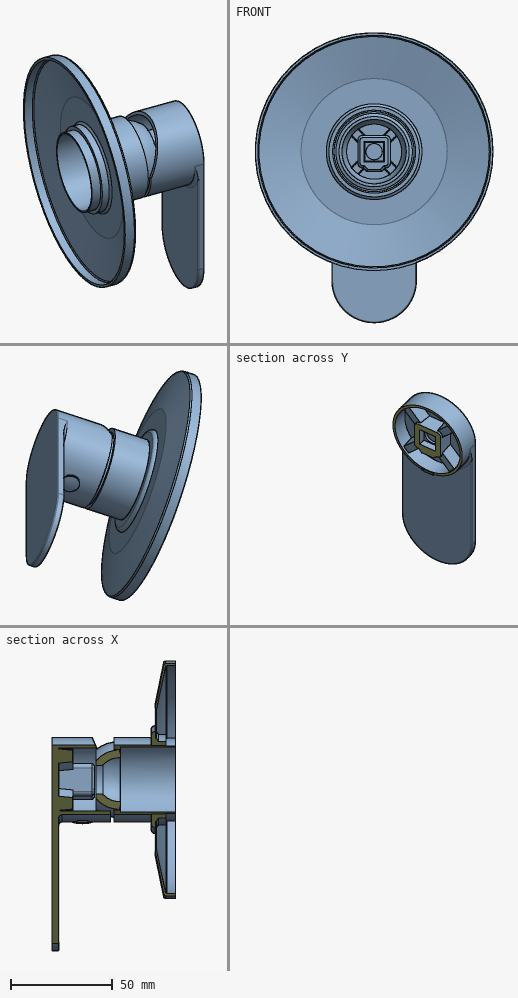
import cadquery as cq
import math


PLATE_RADIUS = 58.5
RIM_INNER_RADIUS = 57.2
RIM_DEPTH = 5.0
RIM_INNER_DEPTH = 4.3
RIM_INNER_BEVEL = 0.5
RIM_OUTER_BEVEL_RADIAL = 0.4
RIM_OUTER_BEVEL_AXIAL = 0.9
PLATE_FACE_Y = 10.1
PLATE_THICKNESS = 0.7
FACE_RADIUS = 37.4
BACK_FACE_RADIUS = 36.0

COLLAR_HOLE_RADIUS = 23.5
COLLAR_REAR_RADIUS = 22.3
COLLAR_BEVEL = 1.0
COLLAR_REAR_Y = 4.7
LIP_RADIUS = 26.5
LIP_HEIGHT = 2.0

SLEEVE_RADIUS = 20.8
SLEEVE_REAR_RADIUS = 20.4
SLEEVE_BORE_RADIUS = 19.7
DOME_SEAT_RADIUS = 18.8
SLEEVE_END_Y = 30.4

DOME_REAR_Y = 27.1
DOME_TOP_Y = 39.3
DOME_INNER_RADIUS = 15.8
DOME_OPENING_RADIUS = 13.5
DOME_CHAMFER_RADIAL = 1.5
DOME_CHAMFER_AXIAL = 0.5
DOME_CENTRE_Y = DOME_REAR_Y + DOME_CHAMFER_AXIAL

LEVER_FACE_Y = 61.0
LEVER_THICKNESS = 3.4
LEVER_END_Z = -84.2
LEVER_EDGE_ROUNDING = 0.4
LEVER_ROOT_ROUNDING = 1.7
CUP_REAR_Y = 32.0
CUP_SLANT_RISE = 9.1
CUP_INNER_RADIUS = 19.3
CUP_FLOOR_Y = LEVER_FACE_Y - LEVER_THICKNESS

BOSS_END_Y = 40.0
BOSS_HALF_WIDTH = 8.0
BOSS_TAB_END_Z = -9.8
BOSS_TAB_END_HALF_WIDTH = 3.5
BOSS_TAB_ROOT_HALF_WIDTH = 5.4
BOSS_CORNER_ROUNDING = 2.3
BOSS_END_CHAMFER = 1.1
SOCKET_WIDTH = 9.1
SOCKET_DEPTH = 12.8
SOCKET_CHAMFER = 0.4
SOCKET_CHAMFER_ANGLE = 45.0
SCREW_HOLE_RADIUS = 4.0
SCREW_HOLE_DEPTH = 1.4
RIB_WIDTH = 4.1
RIB_END_Y = 50.5
RIB_DRAFT_ANGLE = 4.0
RIB_ANGLES = (45, 135)

BUTTON_Y = 46.0
BUTTON_RADIUS = 4.7
BUTTON_SEAT_Z = -20.0
BUTTON_EDGE_Z = -21.1
BUTTON_CROWN_Z = -21.7


def about_y_axis(outline):
    """Turn a closed outline, drawn as (radius, y), around the Y axis."""
    return outline.close().revolve(360, (0, 0), (0, 1))


def facing_rear(y):
    """Workplane at height y whose normal points to -Y, with X and Z as its axes."""
    return cq.Workplane("XZ", origin=(0, y, 0))


def make_plate():
    back_y = PLATE_FACE_Y - PLATE_THICKNESS
    bevel_radius = PLATE_RADIUS - RIM_OUTER_BEVEL_RADIAL
    outline = (
        cq.Workplane("XY")
        .moveTo(PLATE_RADIUS, 0)
        .lineTo(PLATE_RADIUS, RIM_DEPTH)
        .lineTo(bevel_radius, RIM_DEPTH + RIM_OUTER_BEVEL_AXIAL)
        .lineTo(FACE_RADIUS, PLATE_FACE_Y)
        .lineTo(COLLAR_HOLE_RADIUS, PLATE_FACE_Y)
        .lineTo(COLLAR_HOLE_RADIUS, back_y)
        .lineTo(BACK_FACE_RADIUS, back_y)
        .lineTo(RIM_INNER_RADIUS - RIM_INNER_BEVEL, RIM_INNER_DEPTH + RIM_INNER_BEVEL)
        .lineTo(RIM_INNER_RADIUS, RIM_INNER_DEPTH)
        .lineTo(RIM_INNER_RADIUS, 0)
    )
    return about_y_axis(outline)


def make_collar():
    bevel_start_y = PLATE_FACE_Y - PLATE_THICKNESS
    lip_y = PLATE_FACE_Y + LIP_HEIGHT
    outline = (
        cq.Workplane("XY")
        .moveTo(SLEEVE_REAR_RADIUS, COLLAR_REAR_Y)
        .lineTo(COLLAR_REAR_RADIUS, COLLAR_REAR_Y)
        .lineTo(COLLAR_REAR_RADIUS, bevel_start_y - COLLAR_BEVEL)
        .lineTo(COLLAR_HOLE_RADIUS, bevel_start_y)
        .lineTo(COLLAR_HOLE_RADIUS, PLATE_FACE_Y)
        .lineTo(LIP_RADIUS, PLATE_FACE_Y)
        .radiusArc((LIP_RADIUS - LIP_HEIGHT, lip_y), -LIP_HEIGHT)
        .lineTo(SLEEVE_REAR_RADIUS, lip_y)
    )
    return about_y_axis(outline)


def make_sleeve():
    shoulder_y = PLATE_FACE_Y + LIP_HEIGHT
    outline = (
        cq.Workplane("XY")
        .moveTo(SLEEVE_BORE_RADIUS, 0)
        .lineTo(SLEEVE_REAR_RADIUS, 0)
        .lineTo(SLEEVE_REAR_RADIUS, shoulder_y)
        .lineTo(SLEEVE_RADIUS, shoulder_y)
        .lineTo(SLEEVE_RADIUS, SLEEVE_END_Y)
        .lineTo(DOME_SEAT_RADIUS, SLEEVE_END_Y)
        .lineTo(DOME_SEAT_RADIUS, DOME_REAR_Y)
        .lineTo(SLEEVE_BORE_RADIUS, DOME_REAR_Y)
    )
    return about_y_axis(outline)


def make_dome():
    top_radius = math.sqrt(DOME_SEAT_RADIUS**2 - (DOME_TOP_Y - DOME_CENTRE_Y) ** 2)
    opening_y = DOME_CENTRE_Y + math.sqrt(DOME_INNER_RADIUS**2 - DOME_OPENING_RADIUS**2)
    outline = (
        cq.Workplane("XY")
        .moveTo(DOME_INNER_RADIUS, DOME_REAR_Y)
        .lineTo(DOME_SEAT_RADIUS - DOME_CHAMFER_RADIAL, DOME_REAR_Y)
        .lineTo(DOME_SEAT_RADIUS, DOME_CENTRE_Y)
        .radiusArc((top_radius, DOME_TOP_Y), -DOME_SEAT_RADIUS)
        .lineTo(DOME_OPENING_RADIUS, DOME_TOP_Y)
        .lineTo(DOME_OPENING_RADIUS, opening_y)
        .radiusArc((DOME_INNER_RADIUS, DOME_CENTRE_Y), DOME_INNER_RADIUS)
    )
    return about_y_axis(outline)


def lever_prism(depth):
    """Lever outline below the axis, reaching the given depth back from its outer face."""
    end_centre_z = LEVER_END_Z + SLEEVE_RADIUS
    return (
        facing_rear(LEVER_FACE_Y)
        .moveTo(-SLEEVE_RADIUS, 0)
        .lineTo(SLEEVE_RADIUS, 0)
        .lineTo(SLEEVE_RADIUS, end_centre_z)
        .threePointArc((0, LEVER_END_Z), (-SLEEVE_RADIUS, end_centre_z))
        .close()
        .extrude(depth)
    )


def make_lever():
    """Flat lever, its rear edge rounded except along the top, which lies inside the cup's end."""
    return lever_prism(LEVER_THICKNESS).faces("<Y").edges("not >Z").fillet(LEVER_EDGE_ROUNDING)


def make_lever_root():
    """Concave rounding between the cup and the lever, kept within the lever's width."""
    start_y = CUP_FLOOR_Y - LEVER_ROOT_ROUNDING
    end_y = CUP_FLOOR_Y + LEVER_EDGE_ROUNDING
    outer_radius = SLEEVE_RADIUS + LEVER_ROOT_ROUNDING
    ring = about_y_axis(
        cq.Workplane("XY")
        .moveTo(CUP_INNER_RADIUS, start_y)
        .lineTo(SLEEVE_RADIUS, start_y)
        .radiusArc((outer_radius, CUP_FLOOR_Y), LEVER_ROOT_ROUNDING)
        .lineTo(outer_radius, end_y)
        .lineTo(CUP_INNER_RADIUS, end_y)
    )
    return ring.intersect(lever_prism(LEVER_THICKNESS + LEVER_ROOT_ROUNDING))


def make_cup():
    """Round cup of the handle, its mouth slanting away from the dome above the axis."""
    cup = facing_rear(LEVER_FACE_Y).circle(SLEEVE_RADIUS).extrude(LEVER_FACE_Y - CUP_REAR_Y)
    cavity = facing_rear(CUP_FLOOR_Y).circle(CUP_INNER_RADIUS).extrude(CUP_FLOOR_Y - CUP_REAR_Y)
    slant_points = [
        (CUP_REAR_Y, 0),
        (CUP_REAR_Y + CUP_SLANT_RISE, SLEEVE_RADIUS),
        (CUP_REAR_Y, SLEEVE_RADIUS),
    ]
    slant = cq.Workplane("YZ").polyline(slant_points).close().extrude(SLEEVE_RADIUS, both=True)
    return cup.cut(cavity).cut(slant)


def make_boss():
    """Drive boss: a rounded square with a tab on its -Z side, chamfered around its end."""
    length = CUP_FLOOR_Y - BOSS_END_Y
    square = (
        facing_rear(BOSS_END_Y)
        .rect(2 * BOSS_HALF_WIDTH, 2 * BOSS_HALF_WIDTH)
        .extrude(-length)
        .edges("|Y")
        .fillet(BOSS_CORNER_ROUNDING)
    )
    tab_points = [
        (-BOSS_TAB_ROOT_HALF_WIDTH, -BOSS_HALF_WIDTH),
        (-BOSS_TAB_END_HALF_WIDTH, BOSS_TAB_END_Z),
        (BOSS_TAB_END_HALF_WIDTH, BOSS_TAB_END_Z),
        (BOSS_TAB_ROOT_HALF_WIDTH, -BOSS_HALF_WIDTH),
        (0, 0),
    ]
    tab = facing_rear(BOSS_END_Y).polyline(tab_points).close().extrude(-length)
    return square.union(tab).faces("<Y").edges().chamfer(BOSS_END_CHAMFER)


def make_rib(angle):
    """Drafted rib through the axis, spanning the cup floor from wall to wall."""
    mid_wall_radius = (CUP_INNER_RADIUS + SLEEVE_RADIUS) / 2
    return (
        facing_rear(RIB_END_Y)
        .rect(2 * mid_wall_radius, RIB_WIDTH)
        .extrude(RIB_END_Y - CUP_FLOOR_Y, taper=-RIB_DRAFT_ANGLE)
        .rotate((0, 0, 0), (0, 1, 0), angle)
    )


def make_socket():
    """Cutter for the square socket in the boss, with the screw hole at its bottom."""
    bottom_y = BOSS_END_Y + SOCKET_DEPTH
    square = facing_rear(BOSS_END_Y).rect(SOCKET_WIDTH, SOCKET_WIDTH).extrude(-SOCKET_DEPTH)
    mouth_width = SOCKET_WIDTH + 2 * SOCKET_CHAMFER
    mouth = (
        facing_rear(BOSS_END_Y)
        .rect(mouth_width, mouth_width)
        .extrude(-SOCKET_CHAMFER, taper=SOCKET_CHAMFER_ANGLE)
    )
    screw_hole = facing_rear(bottom_y).circle(SCREW_HOLE_RADIUS).extrude(-SCREW_HOLE_DEPTH)
    return square.union(mouth).union(screw_hole)


def make_button():
    """Low-crowned round plug pointing to -Z."""
    crown = BUTTON_EDGE_Z - BUTTON_CROWN_Z
    crown_radius = (BUTTON_RADIUS**2 + crown**2) / (2 * crown)
    return (
        cq.Workplane("XZ", origin=(0, BUTTON_Y, 0))
        .moveTo(0, BUTTON_SEAT_Z)
        .lineTo(BUTTON_RADIUS, BUTTON_SEAT_Z)
        .lineTo(BUTTON_RADIUS, BUTTON_EDGE_Z)
        .radiusArc((0, BUTTON_CROWN_Z), crown_radius)
        .close()
        .revolve(360, (0, 0), (0, 1))
    )


def make_handle(button):
    handle = make_lever().union(make_lever_root()).union(make_cup())
    handle = handle.faces(">Y").edges().fillet(LEVER_EDGE_ROUNDING).union(make_boss())
    for angle in RIB_ANGLES:
        handle = handle.union(make_rib(angle))
    return handle.cut(make_socket()).cut(button)


plate = make_plate()
collar = make_collar()
sleeve = make_sleeve()
dome = make_dome()
button = make_button()
handle = make_handle(button)

result = cq.Compound.makeCompound(
    [plate.val(), collar.val(), sleeve.val(), dome.val(), handle.val(), button.val()]
)